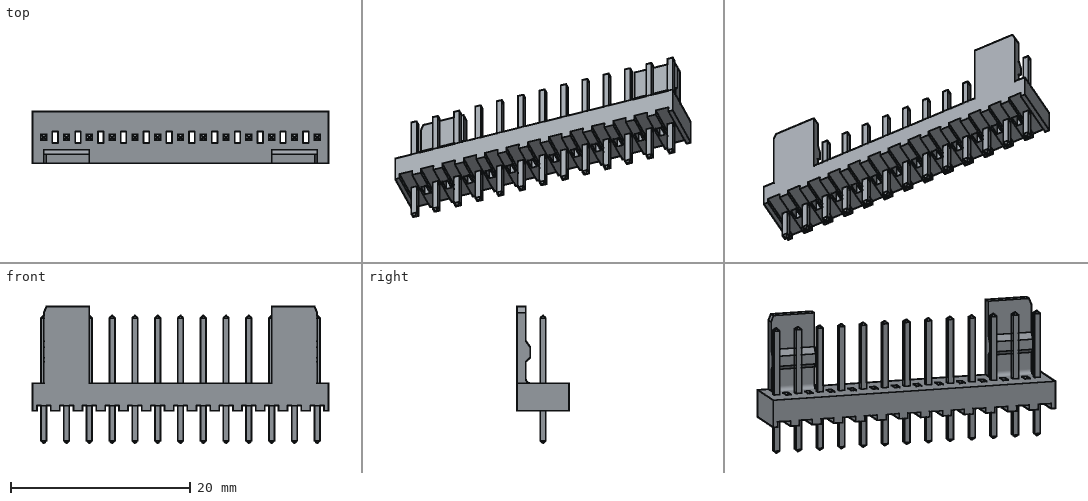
import cadquery as cq

pin_count = 13
pitch = 2.54
pin_width = 0.64
tip_height = 0.3
pin_rise = 7.56
pin_drop = 3.6

base_length = pin_count * pitch
base_depth = 5.8
base_height = 3.1

slot_width = 0.6
slot_length = 1.25

notch_width = 1.5
notch_height = 0.6

wall_height = 8.56
wall_width = 2 * pitch
wall_thickness = 1.0
root_radius = 0.5
corner_width = 0.3
corner_height = 0.7

bump_depth = 0.5
bump_bottom = 2.4
bump_flat_bottom = 2.85
bump_flat_top = 4.0
bump_top = 4.7

row_half = (pin_count - 1) * pitch / 2
pin_positions = [(i * pitch - row_half, 0) for i in range(pin_count)]
slot_positions = [(x + pitch / 2, y) for x, y in pin_positions[:-1]]


def make_base():
    base = cq.Workplane("XY").box(base_length, base_depth, base_height, centered=(True, True, False))
    notches = (
        cq.Workplane("XY")
        .pushPoints(pin_positions)
        .rect(notch_width, base_depth)
        .extrude(notch_height)
    )
    slots = (
        cq.Workplane("XY")
        .pushPoints(slot_positions)
        .rect(slot_width, slot_length)
        .extrude(base_height)
    )
    return base.cut(notches).cut(slots)


def make_pin():
    """Square pin on the Z axis with a pyramid point at each end."""
    shank_bottom = tip_height - pin_drop
    shank_top = base_height + pin_rise - tip_height
    half = pin_width / 2
    profile = [
        (-half, shank_bottom),
        (0, -pin_drop),
        (half, shank_bottom),
        (half, shank_top),
        (0, base_height + pin_rise),
        (-half, shank_top),
    ]
    along_y = cq.Workplane("XZ").polyline(profile).close().extrude(half, both=True)
    along_x = cq.Workplane("YZ").polyline(profile).close().extrude(half, both=True)
    return along_y.intersect(along_x)


def make_left_wall():
    """Latch wall at the -X end; its outer edge lies on the first pin's axis."""
    outer_face = -base_depth / 2
    inner_face = outer_face + wall_thickness
    bump_face = inner_face + bump_depth
    wall_top = base_height + wall_height
    fillet_offset = root_radius * (1 - 0.5 ** 0.5)
    wall = (
        cq.Workplane("YZ", origin=(-row_half, 0, 0))
        .moveTo(outer_face, base_height)
        .lineTo(inner_face + root_radius, base_height)
        .threePointArc(
            (inner_face + fillet_offset, base_height + fillet_offset),
            (inner_face, base_height + root_radius),
        )
        .lineTo(inner_face, base_height + bump_bottom)
        .lineTo(bump_face, base_height + bump_flat_bottom)
        .lineTo(bump_face, base_height + bump_flat_top)
        .lineTo(inner_face, base_height + bump_top)
        .lineTo(inner_face, wall_top)
        .lineTo(outer_face, wall_top)
        .close()
        .extrude(wall_width)
    )
    corner = (
        cq.Workplane("XZ")
        .moveTo(-row_half, wall_top)
        .lineTo(-row_half + corner_width, wall_top)
        .lineTo(-row_half, wall_top - corner_height)
        .close()
        .extrude(base_depth / 2)
    )
    return wall.cut(corner)


left_wall = make_left_wall()
right_wall = left_wall.mirror("YZ")
result = make_base().union(left_wall).union(right_wall)

pin = make_pin()
for x, y in pin_positions:
    result = result.union(pin.translate((x, y, 0)))